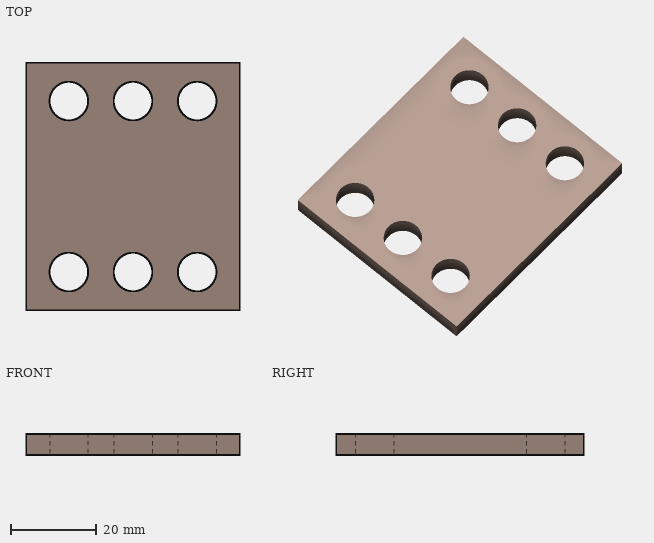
import cadquery as cq

width = 50.0
length = 58.0
thickness = 5.0

hole_diameter = 9.0
holes_per_row = 3
row_count = 2
hole_pitch = 15.0
row_spacing = 40.0

plate = cq.Workplane("XY").box(width, length, thickness)

result = (
    plate.faces(">Z")
    .workplane()
    .rarray(hole_pitch, row_spacing, holes_per_row, row_count)
    .hole(hole_diameter)
)